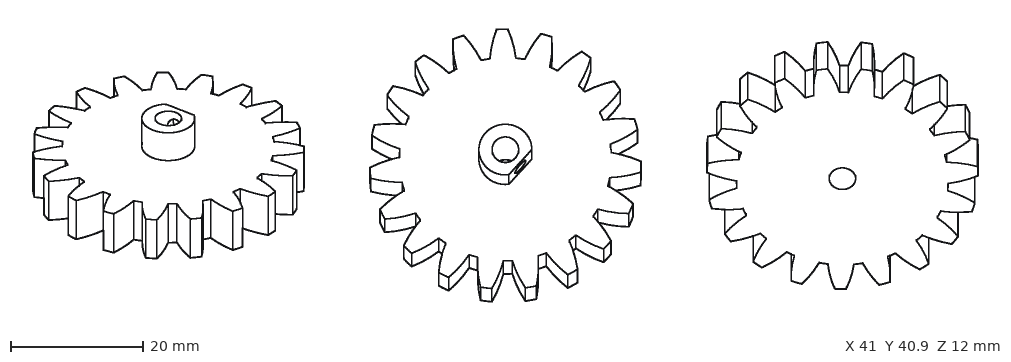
import cadquery as cq
import math

tooth_count = 19
diametral_pitch = 13.0
inch = 25.4
module = inch / diametral_pitch
dedendum_factor = 1.3
pitch_radius = tooth_count * module / 2
tip_radius = pitch_radius + module
root_radius = pitch_radius - dedendum_factor * module
gear_thickness = 7.0

tooth_pitch_angle = 2 * math.pi / tooth_count
backlash_angle = math.radians(0.06)
pitch_half_angle = tooth_pitch_angle / 4 - backlash_angle
tip_half_angle = math.radians(2.4)
root_half_angle = math.radians(7.1)
first_tooth_angle = math.pi / 2

hub_diameter = 8.0
hub_height = 5.0
hub_flat_offset = 3.0
bore_diameter = 4.0
total_height = gear_thickness + hub_height

screw_hole_diameter = 2.46
screw_hole_height = gear_thickness + hub_height / 2


def polar(radius, angle):
    return (radius * math.cos(angle), radius * math.sin(angle))


def make_gear():
    """Toothed disc whose flanks, tips and root lands are all arcs."""
    start_angle = first_tooth_angle - root_half_angle
    outline = cq.Workplane("XY").moveTo(*polar(root_radius, start_angle))
    for tooth in range(tooth_count):
        center = first_tooth_angle + tooth * tooth_pitch_angle
        next_center = center + tooth_pitch_angle
        outline = (
            outline
            .threePointArc(
                polar(pitch_radius, center - pitch_half_angle),
                polar(tip_radius, center - tip_half_angle),
            )
            .threePointArc(
                polar(tip_radius, center),
                polar(tip_radius, center + tip_half_angle),
            )
            .threePointArc(
                polar(pitch_radius, center + pitch_half_angle),
                polar(root_radius, center + root_half_angle),
            )
        )
        land_middle = polar(root_radius, center + tooth_pitch_angle / 2)
        if tooth < tooth_count - 1:
            land_end = polar(root_radius, next_center - root_half_angle)
        else:
            land_end = polar(root_radius, start_angle)
        outline = outline.threePointArc(land_middle, land_end)
    return outline.close().extrude(gear_thickness)


def make_hub():
    """Round hub on the gear's top face, cut flat on its +Y side."""
    hub_radius = hub_diameter / 2
    flat_half_width = math.sqrt(hub_radius**2 - hub_flat_offset**2)
    return (
        cq.Workplane("XY")
        .workplane(offset=gear_thickness)
        .moveTo(-flat_half_width, hub_flat_offset)
        .threePointArc((0, -hub_radius), (flat_half_width, hub_flat_offset))
        .close()
        .extrude(hub_height)
    )


def make_bore():
    return cq.Workplane("XY").circle(bore_diameter / 2).extrude(total_height)


def make_screw_hole():
    """Radial cylinder from the hub axis out through the flat."""
    return cq.Workplane(
        cq.Solid.makeCylinder(
            screw_hole_diameter / 2,
            hub_flat_offset,
            cq.Vector(0, 0, screw_hole_height),
            cq.Vector(0, 1, 0),
        )
    )


result = make_gear().union(make_hub()).cut(make_bore()).cut(make_screw_hole())